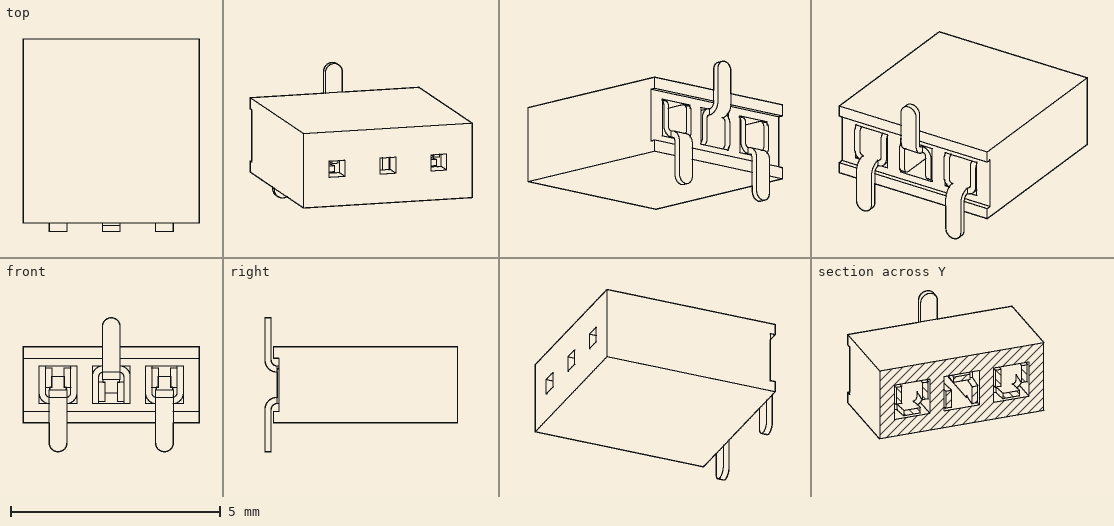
import cadquery as cq

OVERALL_LENGTH = 4.6
OVERALL_HEIGHT = 3.2

HOUSING_WIDTH = 4.21
HOUSING_HEIGHT = 1.815
HOUSING_FRONT = 0.202
GROOVE_DEPTH = 0.13
GROOVE_HEIGHT = 1.265
GROOVE_FLOOR = HOUSING_FRONT + GROOVE_DEPTH
CAVITY_SIZE = 0.9
BACK_WALL = 0.46
CAVITY_END = OVERALL_LENGTH - BACK_WALL
ENTRY_SIZE = 0.39

PITCH = 1.27
CONTACT_COUNT = 3
THICKNESS = 0.15
CHANNEL_FRONT = 0.29
CHANNEL_END = 1.84
CHANNEL_HALF = CAVITY_SIZE / 2
CHANNEL_INNER_HALF = CHANNEL_HALF - THICKNESS
CORNER_INNER_RADIUS = 0.1
CORNER_OUTER_RADIUS = CORNER_INNER_RADIUS + THICKNESS
WALL_TIP_RADIUS = 0.145

SPRING_END = 3.68
SIDE_SPRING_TOP = 0.395
SIDE_SPRING_HEIGHT = 0.46
SIDE_SPRING_GAP = 0.295
SIDE_SPRING_SHIFT = CHANNEL_INNER_HALF - SIDE_SPRING_GAP / 2
FLOOR_SPRING_RISE = 0.18

FOOT_WIDTH = 0.43
BEND_OUTER_RADIUS = CHANNEL_FRONT
BEND_INNER_RADIUS = BEND_OUTER_RADIUS - THICKNESS
BEND_CENTER_Z = -CHANNEL_HALF - BEND_INNER_RADIUS
FOOT_END_Z = -OVERALL_HEIGHT / 2


def box_between(x_range, y_range, z_range):
    """Axis-aligned box given its lower and upper limit along each axis."""
    (x0, x1), (y0, y1), (z0, z1) = x_range, y_range, z_range
    return cq.Workplane("XY").box(x1 - x0, y1 - y0, z1 - z0, centered=False).translate((x0, y0, z0))


def square_bar(size, x, y_start, y_end):
    """Square bar along Y, centred at the given X and at Z = 0."""
    half = size / 2
    return box_between((x - half, x + half), (y_start, y_end), (-half, half))


def make_housing(contact_places):
    half_width = HOUSING_WIDTH / 2
    half_height = HOUSING_HEIGHT / 2
    half_groove = GROOVE_HEIGHT / 2
    body = box_between(
        (-half_width, half_width), (HOUSING_FRONT, OVERALL_LENGTH), (-half_height, half_height)
    )
    groove = box_between(
        (-half_width, half_width), (HOUSING_FRONT, GROOVE_FLOOR), (-half_groove, half_groove)
    )
    body = body.cut(groove)
    for x in contact_places:
        body = body.cut(square_bar(CAVITY_SIZE, x, GROOVE_FLOOR, CAVITY_END))
        body = body.cut(square_bar(ENTRY_SIZE, x, CAVITY_END, OVERALL_LENGTH))
    return body


def make_channel():
    """U-shaped channel, open at the top, with the upper front corners of its walls rounded."""
    outer = square_bar(CAVITY_SIZE, 0, CHANNEL_FRONT, CHANNEL_END)
    outer = outer.edges("|Y and <Z").fillet(CORNER_OUTER_RADIUS)
    outer = outer.edges("|X and <Y and >Z").fillet(WALL_TIP_RADIUS)
    inside = box_between(
        (-CHANNEL_INNER_HALF, CHANNEL_INNER_HALF),
        (CHANNEL_FRONT, CHANNEL_END),
        (-CHANNEL_INNER_HALF, CHANNEL_HALF),
    )
    inside = inside.edges("|Y and <Z").fillet(CORNER_INNER_RADIUS)
    return outer.cut(inside)


def make_side_spring():
    """Slanted beam that carries the right-hand channel wall on towards the middle."""
    return (
        cq.Workplane("XY", origin=(0, 0, SIDE_SPRING_TOP - SIDE_SPRING_HEIGHT))
        .moveTo(CHANNEL_INNER_HALF, CHANNEL_END)
        .lineTo(CHANNEL_HALF, CHANNEL_END)
        .lineTo(CHANNEL_HALF - SIDE_SPRING_SHIFT, SPRING_END)
        .lineTo(CHANNEL_INNER_HALF - SIDE_SPRING_SHIFT, SPRING_END)
        .close()
        .extrude(SIDE_SPRING_HEIGHT)
    )


def make_floor_spring():
    """Slanted beam that carries the channel floor on and rises towards the middle."""
    return (
        cq.Workplane("YZ")
        .moveTo(CHANNEL_END, -CHANNEL_HALF)
        .lineTo(CHANNEL_END, -CHANNEL_INNER_HALF)
        .lineTo(SPRING_END, -CHANNEL_INNER_HALF + FLOOR_SPRING_RISE)
        .lineTo(SPRING_END, -CHANNEL_HALF + FLOOR_SPRING_RISE)
        .close()
        .extrude(FOOT_WIDTH / 2, both=True)
    )


def make_bend():
    """Quarter-round bend that turns the strip from the channel floor down into the leg."""
    return (
        cq.Workplane("YZ")
        .moveTo(CHANNEL_FRONT, -CHANNEL_INNER_HALF)
        .radiusArc((0, BEND_CENTER_Z), -BEND_OUTER_RADIUS)
        .lineTo(THICKNESS, BEND_CENTER_Z)
        .radiusArc((CHANNEL_FRONT, -CHANNEL_HALF), BEND_INNER_RADIUS)
        .close()
        .extrude(FOOT_WIDTH / 2, both=True)
    )


def make_leg():
    """Flat solder leg below the bend, ending in a half-round tip."""
    half_width = FOOT_WIDTH / 2
    tip_start_z = FOOT_END_Z + half_width
    return (
        cq.Workplane("XZ")
        .moveTo(-half_width, BEND_CENTER_Z)
        .lineTo(-half_width, tip_start_z)
        .threePointArc((0, FOOT_END_Z), (half_width, tip_start_z))
        .lineTo(half_width, BEND_CENTER_Z)
        .close()
        .extrude(-THICKNESS)
    )


def make_contact():
    side_spring = make_side_spring()
    return (
        make_channel()
        .union(side_spring)
        .union(side_spring.mirror("YZ"))
        .union(make_floor_spring())
        .union(make_bend())
        .union(make_leg())
    )


def place_contact(index, x):
    """Contact in its cavity; every second one is turned over so that its foot points up."""
    turn = 180 * (index % 2)
    return make_contact().rotate((0, 0, 0), (0, 1, 0), turn).translate((x, 0, 0))


contact_places = [(i - (CONTACT_COUNT - 1) / 2) * PITCH for i in range(CONTACT_COUNT)]
housing = make_housing(contact_places)
contacts = [place_contact(i, x) for i, x in enumerate(contact_places)]

result = cq.Compound.makeCompound([housing.val(), *[contact.solids().val() for contact in contacts]])